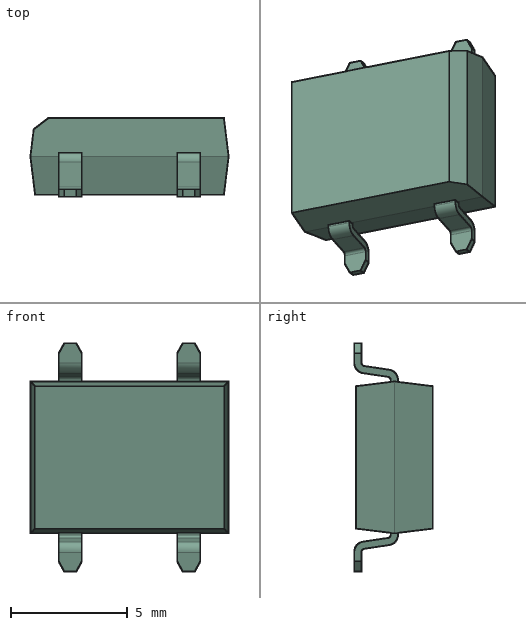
import cadquery as cq
import math

body_width = 8.51
body_height = 6.52
half_depth = 1.65
draft_angle = 7.0

bevel_on_back = 0.57
bevel_depth = 0.48

lead_pitch = 5.08
lead_width = 1.0
lead_thickness = 0.32
lead_span = 9.8
foot_standoff = 0.08
inner_bend_radius = 0.14
lead_slope = 8.5
embedded_length = 1.0
exit_length = 0.05
tip_width = 0.52
tip_length = 0.44

draft_inset = half_depth * math.tan(math.radians(draft_angle))


def body_half(plane, local_width, local_height):
    """Tapered block growing from the parting plane along the plane normal."""
    return cq.Workplane(plane).rect(local_width, local_height).extrude(half_depth, taper=draft_angle)


def bevel_cutter():
    """Prism that removes the corner between the -X side and the +Y face."""
    face_x = -body_width / 2 + draft_inset
    side_x = face_x - draft_inset * bevel_depth / half_depth
    back_x = face_x + bevel_on_back
    side_y = half_depth - bevel_depth
    run_x = back_x - side_x
    return (
        cq.Workplane("XY")
        .moveTo(side_x - run_x, side_y - bevel_depth)
        .lineTo(back_x + run_x, half_depth + bevel_depth)
        .lineTo(side_x - run_x, half_depth + bevel_depth)
        .close()
        .extrude(body_height / 2, both=True)
    )


def make_body():
    """Both halves joined at the parting plane, with the bevel removed."""
    front_half = body_half("XZ", body_width, body_height)
    back_half = body_half("ZX", body_height, body_width)
    return front_half.union(back_half).cut(bevel_cutter())


def tip_outline():
    """Prism with the lead's outline seen along Y: straight sides and a narrowed tip."""
    tip_z = lead_span / 2
    shoulder_z = tip_z - tip_length
    reach = half_depth + foot_standoff
    return (
        cq.Workplane("XZ")
        .polyline([
            (-lead_width / 2, 0),
            (lead_width / 2, 0),
            (lead_width / 2, shoulder_z),
            (tip_width / 2, tip_z),
            (-tip_width / 2, tip_z),
            (-lead_width / 2, shoulder_z),
        ])
        .close()
        .extrude(reach + lead_thickness, both=True)
    )


def bend_step(radius):
    """Y and Z offsets across a bend between the Z direction and the sloped run."""
    turn = math.pi / 2 - math.radians(lead_slope)
    return -radius * (1 - math.cos(turn)), radius * math.sin(turn)


def upper_lead():
    """Lead leaving the top at X = 0, bent toward -Y and then up into its foot."""
    bend_start_z = body_height / 2 + exit_length
    outer_radius = inner_bend_radius + lead_thickness
    inner_y, inner_z = bend_step(inner_bend_radius)
    outer_y, outer_z = bend_step(outer_radius)
    foot_underside_y = -(half_depth + foot_standoff)
    start_y = lead_thickness / 2
    run_y = foot_underside_y + lead_thickness - start_y - outer_y - inner_y
    run_z = -run_y * math.tan(math.radians(lead_slope))
    bends_rise = outer_z + run_z + inner_z
    foot_length = lead_span / 2 - bend_start_z - bends_rise

    strip = (
        cq.Workplane("YZ")
        .moveTo(start_y, body_height / 2 - embedded_length)
        .line(0, embedded_length + exit_length)
        .tangentArcPoint((outer_y, outer_z))
        .line(run_y, run_z)
        .tangentArcPoint((inner_y, inner_z))
        .line(0, foot_length)
        .line(-lead_thickness, 0)
        .line(0, -foot_length)
        .tangentArcPoint((-outer_y, -outer_z))
        .line(-run_y, -run_z)
        .tangentArcPoint((-inner_y, -inner_z))
        .line(0, -embedded_length - exit_length)
        .close()
        .extrude(lead_width / 2, both=True)
    )
    return strip.intersect(tip_outline())


result = make_body()
lead = upper_lead()
for lead_x in (-lead_pitch / 2, lead_pitch / 2):
    placed_lead = lead.translate((lead_x, 0, 0))
    result = result.union(placed_lead).union(placed_lead.mirror("XY"))